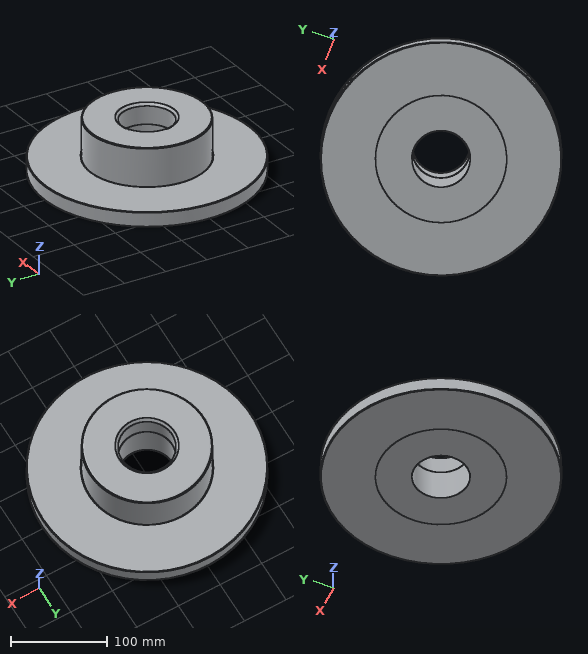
import cadquery as cq

disc_diameter = 250.0
disc_thickness = 17.5
hub_diameter = 136.0
total_height = 63.0

disc_edge_chamfer = 0.8
seat_mouth_chamfer = 1.0

hub_flat_diameter = 130.0
hub_edge_chamfer = 1.0
hub_edge_drop = 0.5

bore_diameter = 60.0
bore_mouth_chamfer = 3.0
relief_diameter = 60.2
relief_height = 38.5

disc_radius = disc_diameter / 2
hub_radius = hub_diameter / 2
bore_radius = bore_diameter / 2
relief_radius = relief_diameter / 2


def revolve_section(points):
    """Turn a closed section of (radius, height) points about the Z axis."""
    return cq.Workplane("XZ").polyline(points).close().revolve(360, (0, 0), (0, 1))


def make_disc():
    """Flat disc with chamfered rims and a through seat for the hub, chamfered on top."""
    rim_radius = disc_radius - disc_edge_chamfer
    return revolve_section(
        [
            (hub_radius, 0),
            (rim_radius, 0),
            (disc_radius, disc_edge_chamfer),
            (disc_radius, disc_thickness - disc_edge_chamfer),
            (rim_radius, disc_thickness),
            (hub_radius + seat_mouth_chamfer, disc_thickness),
            (hub_radius, disc_thickness - seat_mouth_chamfer),
        ]
    )


def make_hub():
    """Hub with a two-step top edge, a chamfered bore and a slightly wider lower bore."""
    shoulder_radius = hub_radius - hub_edge_chamfer
    shoulder_height = total_height - hub_edge_drop
    return revolve_section(
        [
            (relief_radius, 0),
            (hub_radius, 0),
            (hub_radius, shoulder_height - hub_edge_chamfer),
            (shoulder_radius, shoulder_height),
            (hub_flat_diameter / 2, total_height),
            (bore_radius + bore_mouth_chamfer, total_height),
            (bore_radius, total_height - bore_mouth_chamfer),
            (bore_radius, relief_height),
            (relief_radius, relief_height),
        ]
    )


disc = make_disc()
hub = make_hub()

result = cq.Compound.makeCompound([disc.val(), hub.val()])